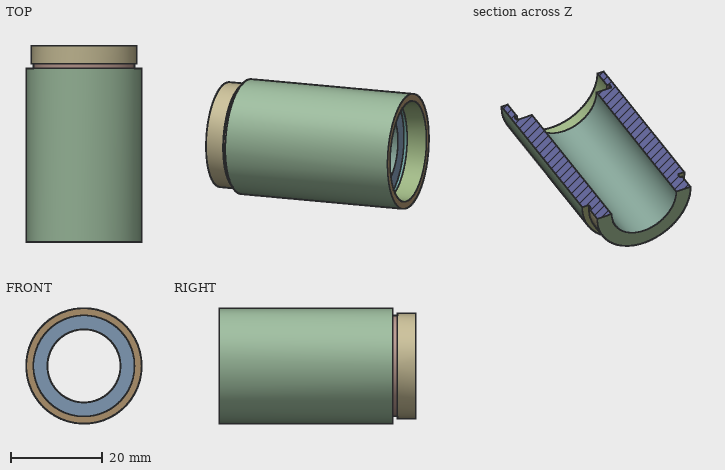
import cadquery as cq

total_length = 43.1
body_diameter = 25.4

spigot_diameter = 23.2
spigot_length = 4.0
groove_diameter = 22.2
groove_width = 1.0

bore_diameter = 16.0
socket_diameter = 22.2
socket_depth = 5.5
relief_diameter = 23.4
relief_width = 1.0

front_y = -total_length / 2
rear_y = total_length / 2
spigot_start_y = rear_y - spigot_length
body_end_y = spigot_start_y - groove_width
socket_floor_y = front_y + socket_depth


def cylinder(diameter, start_y, end_y):
    """Solid cylinder on the Y axis between two stations."""
    plane = cq.Workplane("XZ", origin=(0, start_y, 0))
    return plane.circle(diameter / 2).extrude(start_y - end_y)


body = cylinder(body_diameter, front_y, body_end_y)
groove_neck = cylinder(groove_diameter, body_end_y, spigot_start_y)
spigot = cylinder(spigot_diameter, spigot_start_y, rear_y)
sleeve = body.union(groove_neck).union(spigot)

bore = cylinder(bore_diameter, front_y, rear_y)
socket = cylinder(socket_diameter, front_y, socket_floor_y)
relief = cylinder(relief_diameter, socket_floor_y - relief_width, socket_floor_y)

result = sleeve.cut(bore).cut(socket).cut(relief)